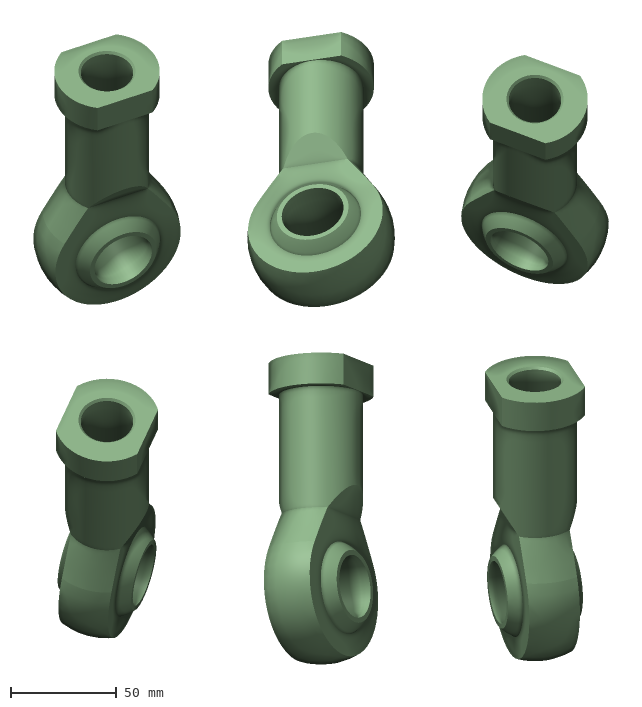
import cadquery as cq
import math


head_radius = 35.0
head_width = 25.0

shank_diameter = 40.0
shank_bottom_z = 36.0
relief_angle = 30.0

collar_diameter = 50.0
collar_height = 15.0
across_flats = 41.0
top_z = 110.0

thread_diameter = 27.0
minor_diameter = 24.84
thread_depth = 51.0
drill_point_angle = 120.0

ball_diameter = 50.8
ball_width = 37.0
ball_bore = 30.0

shank_radius = shank_diameter / 2
half_head = head_width / 2


def make_head():
    """Sphere blended into the shank by a tangent cone, revolved about Z."""
    shank_corner_angle = math.atan2(shank_bottom_z, shank_radius)
    shank_corner_distance = math.hypot(shank_radius, shank_bottom_z)
    tangent_angle = shank_corner_angle - math.acos(head_radius / shank_corner_distance)
    tangent_point = (
        head_radius * math.cos(tangent_angle),
        head_radius * math.sin(tangent_angle),
    )
    middle_angle = (tangent_angle - math.pi / 2) / 2
    arc_middle = (
        head_radius * math.cos(middle_angle),
        head_radius * math.sin(middle_angle),
    )
    return (
        cq.Workplane("XZ")
        .moveTo(0, shank_bottom_z)
        .lineTo(shank_radius, shank_bottom_z)
        .lineTo(*tangent_point)
        .threePointArc(arc_middle, (0, -head_radius))
        .close()
        .revolve(360, (0, 0), (0, 1))
    )


def make_shank():
    return (
        cq.Workplane("XY")
        .workplane(offset=shank_bottom_z)
        .circle(shank_radius)
        .extrude(top_z - shank_bottom_z)
    )


def make_side_envelope():
    """Slab with the head's width that opens along the relief flats to the collar's width."""
    half_flats = across_flats / 2
    relief_rise = (half_flats - half_head) / math.tan(math.radians(relief_angle))
    relief_top_z = shank_bottom_z + relief_rise
    return (
        cq.Workplane("XZ")
        .polyline([
            (-half_head, -head_radius),
            (half_head, -head_radius),
            (half_head, shank_bottom_z),
            (half_flats, relief_top_z),
            (half_flats, top_z),
            (-half_flats, top_z),
            (-half_flats, relief_top_z),
            (-half_head, shank_bottom_z),
        ])
        .close()
        .extrude(head_radius, both=True)
    )


def make_collar():
    """Round collar; the side envelope trims its two wrench flats."""
    return (
        cq.Workplane("XY")
        .workplane(offset=top_z - collar_height)
        .circle(collar_diameter / 2)
        .extrude(collar_height)
    )


def make_threaded_hole():
    """Blind hole with a 45 degree entry chamfer and a conical drill point."""
    hole_radius = minor_diameter / 2
    entry_radius = thread_diameter / 2
    chamfer_depth = entry_radius - hole_radius
    full_bore_z = top_z - thread_depth
    point_depth = hole_radius / math.tan(math.radians(drill_point_angle / 2))
    return (
        cq.Workplane("XZ")
        .polyline([
            (0, top_z),
            (entry_radius, top_z),
            (hole_radius, top_z - chamfer_depth),
            (hole_radius, full_bore_z),
            (0, full_bore_z - point_depth),
        ])
        .close()
        .revolve(360, (0, 0), (0, 1))
    )


def make_ball():
    """Sphere with flat end faces at both sides, revolved about X."""
    half_width = ball_width / 2
    ball_radius = ball_diameter / 2
    end_face_radius = math.sqrt(ball_radius**2 - half_width**2)
    return (
        cq.Workplane("XY")
        .moveTo(-half_width, 0)
        .lineTo(-half_width, end_face_radius)
        .threePointArc((0, ball_radius), (half_width, end_face_radius))
        .lineTo(half_width, 0)
        .close()
        .revolve(360, (0, 0), (1, 0))
    )


def make_ball_bore():
    return cq.Workplane("YZ").circle(ball_bore / 2).extrude(ball_width, both=True)


body = make_head().union(make_shank()).union(make_collar())
body = body.intersect(make_side_envelope()).cut(make_threaded_hole())
result = body.union(make_ball()).cut(make_ball_bore())